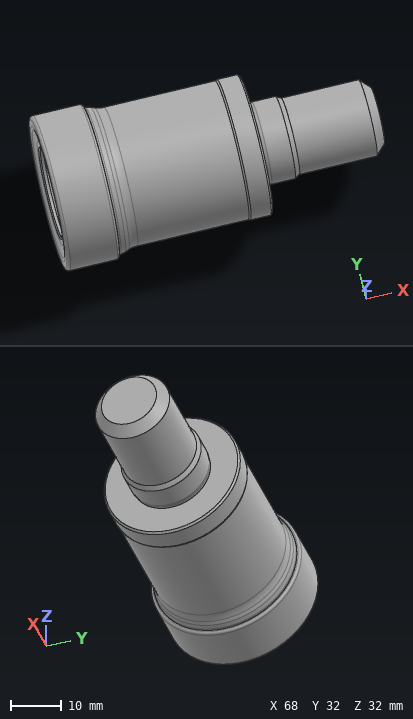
import cadquery as cq
import math

TOTAL_LENGTH = 68.0

COLLAR_RADIUS = 16.0
RIM_ROUND = 0.7
COLLAR_END = 10.9
COLLAR_ROUND = 0.55

LAND_RADIUS = 15.15
LAND_END = 11.3
SHOULDER_RADIUS = 14.95
SHOULDER_END = 12.3
CONE_END = 13.1
CONE_END_RADIUS = 14.6
SWEEP_END = 14.95

BARREL_RADIUS = 28.6 / 2
FLANGE_RADIUS = 29.0 / 2
FLANGE_START = 37.9
FLANGE_STEP_LENGTH = 0.4
HOUSING_END = 42.85
FLANGE_CHAMFER = 0.4

RIM_INNER_RADIUS = 14.0
DISH_FLOOR_RADIUS = 10.75
DISH_DEPTH = 0.55
DISH_CONVEX_SHARE = 0.25
RECESS_RADIUS = 9.25
RECESS_DEPTH = 0.95
RECESS_CHAMFER = 0.3

NECK_RADIUS = 16.6 / 2
BOSS_RADIUS = 17.0 / 2
SHAFT_RADIUS = 15.8 / 2
SEAT_DEPTH = 6.8
NECK_END = 43.4
BOSS_START = 44.05
BOSS_END = 48.95
SHAFT_START = 50.0
TIP_CHAMFER = 2.05

SEAT_X = HOUSING_END - SEAT_DEPTH


def revolve_about_x(profile):
    """Close a half profile of (x, radius) points and turn it about the X axis."""
    return profile.close().revolve(360, (0, 0, 0), (1, 0, 0))


def make_housing():
    """Collared cylinder with a dished rear face and a blind seat for the rod."""
    rim_outer_flat = COLLAR_RADIUS - RIM_ROUND
    rim_middle = RIM_ROUND * math.sqrt(0.5)
    collar_middle = COLLAR_ROUND * math.sqrt(0.5)
    collar_round_start = COLLAR_END - COLLAR_ROUND
    collar_round_radius = COLLAR_RADIUS - COLLAR_ROUND
    recess_floor = DISH_DEPTH + RECESS_DEPTH
    bend_x = DISH_DEPTH * DISH_CONVEX_SHARE
    bend_radius = RIM_INNER_RADIUS - (RIM_INNER_RADIUS - DISH_FLOOR_RADIUS) * DISH_CONVEX_SHARE
    profile = (
        cq.Workplane("XY")
        .moveTo(recess_floor, 0)
        .lineTo(recess_floor, RECESS_RADIUS)
        .lineTo(DISH_DEPTH + RECESS_CHAMFER, RECESS_RADIUS)
        .lineTo(DISH_DEPTH, RECESS_RADIUS + RECESS_CHAMFER)
        .lineTo(DISH_DEPTH, DISH_FLOOR_RADIUS)
        .tangentArcPoint((bend_x, bend_radius), relative=False)
        .tangentArcPoint((0, RIM_INNER_RADIUS), relative=False)
        .lineTo(0, rim_outer_flat)
        .threePointArc(
            (RIM_ROUND - rim_middle, rim_outer_flat + rim_middle),
            (RIM_ROUND, COLLAR_RADIUS),
        )
        .lineTo(collar_round_start, COLLAR_RADIUS)
        .threePointArc(
            (collar_round_start + collar_middle, collar_round_radius + collar_middle),
            (COLLAR_END, collar_round_radius),
        )
        .lineTo(COLLAR_END, LAND_RADIUS)
        .lineTo(LAND_END, LAND_RADIUS)
        .lineTo(SHOULDER_END, SHOULDER_RADIUS)
        .lineTo(CONE_END, CONE_END_RADIUS)
        .tangentArcPoint((SWEEP_END, BARREL_RADIUS), relative=False)
        .lineTo(FLANGE_START, BARREL_RADIUS)
        .lineTo(FLANGE_START + FLANGE_STEP_LENGTH, FLANGE_RADIUS)
        .lineTo(HOUSING_END - FLANGE_CHAMFER, FLANGE_RADIUS)
        .lineTo(HOUSING_END, FLANGE_RADIUS - FLANGE_CHAMFER)
        .lineTo(HOUSING_END, NECK_RADIUS)
        .lineTo(SEAT_X, NECK_RADIUS)
        .lineTo(SEAT_X, 0)
    )
    return revolve_about_x(profile)


def make_rod():
    """Stepped rod with a neck, a wider boss and a chamfered tip."""
    profile = (
        cq.Workplane("XY")
        .moveTo(SEAT_X, 0)
        .lineTo(SEAT_X, NECK_RADIUS)
        .lineTo(NECK_END, NECK_RADIUS)
        .lineTo(BOSS_START, BOSS_RADIUS)
        .lineTo(BOSS_END, BOSS_RADIUS)
        .lineTo(SHAFT_START, SHAFT_RADIUS)
        .lineTo(TOTAL_LENGTH - TIP_CHAMFER, SHAFT_RADIUS)
        .lineTo(TOTAL_LENGTH, SHAFT_RADIUS - TIP_CHAMFER)
        .lineTo(TOTAL_LENGTH, 0)
    )
    return revolve_about_x(profile)


housing = make_housing()
rod = make_rod()

result = cq.Compound.makeCompound([housing.val(), rod.val()])